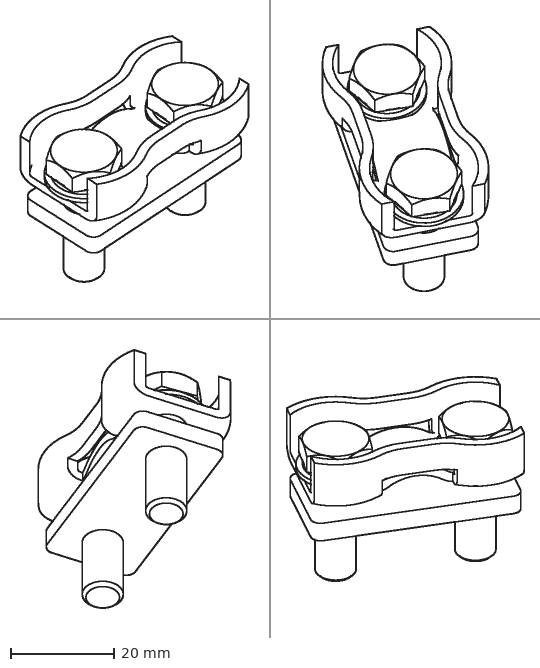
import cadquery as cq
import math

OVERALL_LENGTH = 43.35
BOLT_OFFSET = 14.0
SHEET = 2.0
CLAMP_HEIGHT = 10.5
CLAMP_HALF_LENGTH = 21.0
CLAMP_WIDTH = 25.0
LOBE_RADIUS = CLAMP_WIDTH / 2
WAIST_RADIUS = 9.55
WAIST_HALF_WIDTH = 9.7
BEND_OUTER_RADIUS = 2.45
BEND_INNER_RADIUS = BEND_OUTER_RADIUS - SHEET

WINDOW_HALF_LENGTH = 7.5
WINDOW_HEIGHT = 4.5

SADDLE_HALF_WIDTH = 7.5
SADDLE_HALF_LENGTH = 7.8
SADDLE_TOP_RADIUS = 11.6
SADDLE_FOOT_RADIUS = 2.0

PLATE_WIDTH = 19.0
PLATE_LENGTH = 2 * CLAMP_HALF_LENGTH
PLATE_THICKNESS = 4.0
PLATE_TOP = -4.07
PLATE_CORNER_RADIUS = 2.0

SHANK_RADIUS = 4.0
SHANK_CHAMFER = 0.75
BOLT_BOTTOM = -21.8
FLANGE_RADIUS = OVERALL_LENGTH / 2 - BOLT_OFFSET
FLANGE_THICKNESS = 1.0
FLANGE_TOP = SHEET + FLANGE_THICKNESS
COLLAR_RADIUS = 6.4
HEAD_BOTTOM = 4.15
HEAD_TOP = 8.65
HEAD_CORNER_RADIUS = 7.5
HEAD_TOP_RADIUS = 6.45
HEAD_CHAMFER_DROP = 1.0
BOLT_TURN = -63.0


def clamp_outline(inset):
    """Waisted plan outline of the clamp, moved inward from the wall's outer face by inset."""
    lobe = LOBE_RADIUS - inset
    waist = WAIST_RADIUS + inset
    waist_x = WAIST_HALF_WIDTH - inset

    waist_center_x = waist_x + waist
    center_rise = math.sqrt((lobe + waist) ** 2 - waist_center_x ** 2)
    waist_center_y = BOLT_OFFSET - center_rise
    join_x = waist_center_x * lobe / (lobe + waist)
    join_y = BOLT_OFFSET - center_rise * lobe / (lobe + waist)

    half_turn = math.atan2(center_rise, waist_center_x) / 2
    mid_x = waist_center_x - waist * math.cos(half_turn)
    mid_y = waist_center_y + waist * math.sin(half_turn)
    end_x = math.sqrt(lobe ** 2 - (CLAMP_HALF_LENGTH - BOLT_OFFSET) ** 2)

    return (
        cq.Workplane("XY")
        .moveTo(end_x, -CLAMP_HALF_LENGTH)
        .threePointArc((lobe, -BOLT_OFFSET), (join_x, -join_y))
        .threePointArc((mid_x, -mid_y), (waist_x, -waist_center_y))
        .lineTo(waist_x, waist_center_y)
        .threePointArc((mid_x, mid_y), (join_x, join_y))
        .threePointArc((lobe, BOLT_OFFSET), (end_x, CLAMP_HALF_LENGTH))
        .lineTo(-end_x, CLAMP_HALF_LENGTH)
        .threePointArc((-lobe, BOLT_OFFSET), (-join_x, join_y))
        .threePointArc((-mid_x, mid_y), (-waist_x, waist_center_y))
        .lineTo(-waist_x, -waist_center_y)
        .threePointArc((-mid_x, -mid_y), (-join_x, -join_y))
        .threePointArc((-lobe, -BOLT_OFFSET), (-end_x, -CLAMP_HALF_LENGTH))
        .close()
    )


def bent_block(inset, height, bend_radius):
    """Clamp outline extruded upward, with its lower side edges rounded and its ends left square."""
    block = clamp_outline(inset).extrude(height)
    return block.faces("<Z").edges("not |X").fillet(bend_radius)


def saddle():
    """Arched strip, with a reverse bend at each foot that runs out into the flat floor."""
    reach = SADDLE_TOP_RADIUS + SADDLE_FOOT_RADIUS
    foot_center_z = SHEET + SADDLE_FOOT_RADIUS
    arch_center_z = foot_center_z - math.sqrt(reach ** 2 - SADDLE_HALF_LENGTH ** 2)
    lean = math.asin(SADDLE_HALF_LENGTH / reach)

    def arch_point(radius, angle):
        return radius * math.sin(angle), arch_center_z + radius * math.cos(angle)

    def foot_point(radius, angle):
        return SADDLE_HALF_LENGTH - radius * math.sin(angle), foot_center_z - radius * math.cos(angle)

    def mirrored(point):
        return -point[0], point[1]

    arch_bottom_radius = SADDLE_TOP_RADIUS - SHEET
    foot_bottom_radius = SADDLE_FOOT_RADIUS + SHEET
    foot_top_mid = foot_point(SADDLE_FOOT_RADIUS, lean / 2)
    foot_bottom_mid = foot_point(foot_bottom_radius, lean / 2)
    top_join = arch_point(SADDLE_TOP_RADIUS, lean)
    bottom_join = arch_point(arch_bottom_radius, lean)
    profile = (
        cq.Workplane("YZ")
        .moveTo(-SADDLE_HALF_LENGTH, SHEET)
        .threePointArc(mirrored(foot_top_mid), mirrored(top_join))
        .threePointArc(arch_point(SADDLE_TOP_RADIUS, 0), top_join)
        .threePointArc(foot_top_mid, (SADDLE_HALF_LENGTH, SHEET))
        .lineTo(SADDLE_HALF_LENGTH, 0)
        .threePointArc(foot_bottom_mid, bottom_join)
        .threePointArc(arch_point(arch_bottom_radius, 0), mirrored(bottom_join))
        .threePointArc(mirrored(foot_bottom_mid), (-SADDLE_HALF_LENGTH, 0))
        .close()
    )
    return profile.extrude(SADDLE_HALF_WIDTH, both=True)


def bolt_cylinders(radius, bottom, height):
    """Two equal cylinders on the bolt axes, used to make room for the bolts."""
    return (
        cq.Workplane("XY", origin=(0, 0, bottom))
        .pushPoints([(0, -BOLT_OFFSET), (0, BOLT_OFFSET)])
        .circle(radius)
        .extrude(height)
    )


def make_clamp():
    channel = bent_block(0, CLAMP_HEIGHT, BEND_OUTER_RADIUS)
    cavity = bent_block(SHEET, CLAMP_HEIGHT, BEND_INNER_RADIUS).translate((0, 0, SHEET))
    window = cq.Workplane("XY").box(
        CLAMP_WIDTH, 2 * WINDOW_HALF_LENGTH, WINDOW_HEIGHT, centered=(True, True, False)
    )
    shank_holes = bolt_cylinders(SHANK_RADIUS, 0, SHEET)
    flange_seats = bolt_cylinders(FLANGE_RADIUS, SHEET, FLANGE_THICKNESS)
    return channel.cut(cavity).cut(window).union(saddle()).cut(shank_holes).cut(flange_seats)


def make_plate():
    bottom = PLATE_TOP - PLATE_THICKNESS
    blank = (
        cq.Workplane("XY", origin=(0, 0, bottom))
        .rect(PLATE_WIDTH, PLATE_LENGTH)
        .extrude(PLATE_THICKNESS)
        .edges("|Z")
        .fillet(PLATE_CORNER_RADIUS)
    )
    return blank.cut(bolt_cylinders(SHANK_RADIUS, bottom, PLATE_THICKNESS))


def bolt_head():
    """Hexagon prism whose top corners are trimmed by a cone."""
    height = HEAD_TOP - HEAD_BOTTOM
    hexagon = (
        cq.Workplane("XY", origin=(0, 0, HEAD_BOTTOM))
        .polygon(6, 2 * HEAD_CORNER_RADIUS)
        .extrude(height)
    )
    trim = (
        cq.Workplane("XZ")
        .moveTo(0, HEAD_BOTTOM)
        .lineTo(HEAD_CORNER_RADIUS, HEAD_BOTTOM)
        .lineTo(HEAD_CORNER_RADIUS, HEAD_TOP - HEAD_CHAMFER_DROP)
        .lineTo(HEAD_TOP_RADIUS, HEAD_TOP)
        .lineTo(0, HEAD_TOP)
        .close()
        .revolve(360, (0, 0, 0), (0, 1, 0))
    )
    return hexagon.intersect(trim)


def make_bolt(y):
    """Bolt standing at the given place on the Y axis."""
    stem = (
        cq.Workplane("XZ")
        .moveTo(0, BOLT_BOTTOM)
        .lineTo(SHANK_RADIUS - SHANK_CHAMFER, BOLT_BOTTOM)
        .lineTo(SHANK_RADIUS, BOLT_BOTTOM + SHANK_CHAMFER)
        .lineTo(SHANK_RADIUS, SHEET)
        .lineTo(FLANGE_RADIUS, SHEET)
        .lineTo(FLANGE_RADIUS, FLANGE_TOP)
        .lineTo(COLLAR_RADIUS, FLANGE_TOP)
        .lineTo(COLLAR_RADIUS, HEAD_BOTTOM)
        .lineTo(0, HEAD_BOTTOM)
        .close()
        .revolve(360, (0, 0, 0), (0, 1, 0))
    )
    bolt = stem.union(bolt_head())
    return bolt.rotate((0, 0, 0), (0, 0, 1), BOLT_TURN).translate((0, y, 0))


clamp = make_clamp()
plate = make_plate()
bolts = [make_bolt(y) for y in (-BOLT_OFFSET, BOLT_OFFSET)]

result = cq.Compound.makeCompound([clamp.val(), plate.val(), *[bolt.val() for bolt in bolts]])